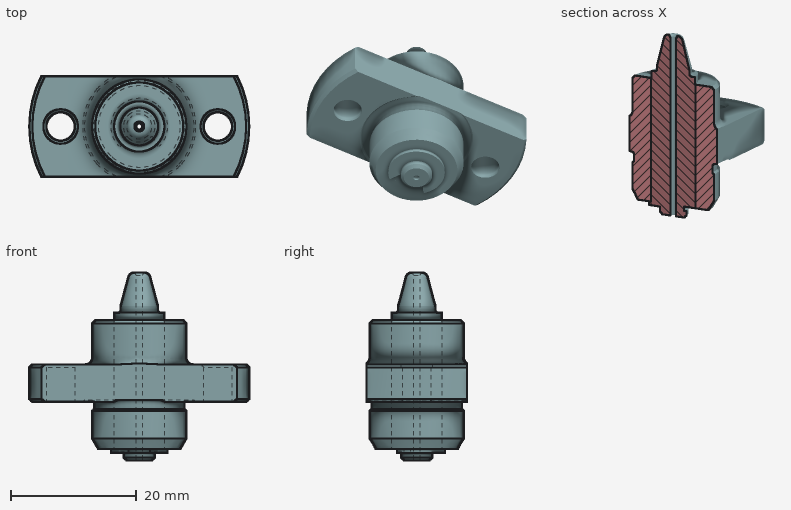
import cadquery as cq
import math


flange_radius = 17.5
flange_width = 16.0
flange_thickness = 6.0
flange_chamfer = 0.5

screw_hole_offset = 12.5
screw_hole_diameter = 4.5
screw_hole_chamfer = 0.5

barrel_radius = 7.5
barrel_top = 13.0
barrel_top_chamfer = 0.5
barrel_root_fillet = 1.0
barrel_bottom = -7.5
lead_in_width = 1.0
lead_in_angle = 30.0
lead_in_height = lead_in_width / math.tan(math.radians(lead_in_angle))

undercut_depth = 0.3
undercut_fillet = 0.4
undercut_neck_radius = barrel_radius - undercut_depth
undercut_shoulder = -1.45
undercut_outer_radius = 9.0

shaft_radius = 4.0
collar_height = 1.2
collar_top = barrel_top + collar_height
neck_radius = 3.0
neck_height = 1.0
neck_fillet = 0.35
cone_base = collar_top + neck_height
cone_half_angle = 15.0
tip_top = 20.6
tip_fillet = 1.0
cone_tip_radius = neck_radius - (tip_top - cone_base) * math.tan(math.radians(cone_half_angle))

key_ring_radius = 4.5
key_ring_height = 0.6
key_ring_bottom = barrel_bottom - key_ring_height
key_gap_angle = 60.0
key_gap_wall_distance = 1.0
key_gap_fillet = 0.2
hub_radius = 2.0
spigot_radius = 2.5
spigot_bottom = -9.31
spigot_chamfer = 0.5

channel_diameter = 1.0
channel_mouth_diameter = 1.54
channel_mouth_angle = 60.0
channel_mouth_depth = (
    (channel_mouth_diameter - channel_diameter) / 2 / math.tan(math.radians(channel_mouth_angle / 2))
)


def flange():
    """Disc with chamfered rims, trimmed to two flat sides."""
    disc = (
        cq.Workplane("XY")
        .circle(flange_radius)
        .extrude(flange_thickness)
        .edges()
        .chamfer(flange_chamfer)
    )
    trim = cq.Workplane("XY").rect(2 * flange_radius, flange_width).extrude(flange_thickness)
    return disc.intersect(trim)


def upper_barrel():
    """Cylinder with a chamfered top and a concave fillet at its root."""
    root_radius = barrel_radius + barrel_root_fillet
    root_top = flange_thickness + barrel_root_fillet
    arc_reach = barrel_root_fillet * (1 - math.sqrt(0.5))
    profile = (
        cq.Workplane("XZ")
        .moveTo(0, flange_thickness)
        .lineTo(root_radius, flange_thickness)
        .threePointArc((barrel_radius + arc_reach, flange_thickness + arc_reach), (barrel_radius, root_top))
        .lineTo(barrel_radius, barrel_top - barrel_top_chamfer)
        .lineTo(barrel_radius - barrel_top_chamfer, barrel_top)
        .lineTo(0, barrel_top)
        .close()
    )
    barrel = profile.revolve(360, (0, 0, 0), (0, 1, 0))
    trim = (
        cq.Workplane("XY")
        .workplane(offset=flange_thickness)
        .rect(2 * root_radius, flange_width)
        .extrude(barrel_top - flange_thickness)
    )
    return barrel.intersect(trim)


def lower_barrel():
    """Cylinder reaching up to the flange, with a conical lead-in at its lower end."""
    profile = (
        cq.Workplane("XZ")
        .moveTo(0, 0)
        .lineTo(barrel_radius, 0)
        .lineTo(barrel_radius, barrel_bottom + lead_in_height)
        .lineTo(barrel_radius - lead_in_width, barrel_bottom)
        .lineTo(0, barrel_bottom)
        .close()
    )
    return profile.revolve(360, (0, 0, 0), (0, 1, 0))


def undercut():
    """Ring-shaped relief cut into both the lower barrel and the flange underside."""
    fillet_end_radius = undercut_neck_radius + undercut_fillet
    fillet_end_z = undercut_depth - undercut_fillet
    arc_reach = undercut_fillet * (1 - math.sqrt(0.5))
    profile = (
        cq.Workplane("XZ")
        .moveTo(barrel_radius, undercut_shoulder)
        .lineTo(undercut_neck_radius, undercut_shoulder + undercut_depth)
        .lineTo(undercut_neck_radius, fillet_end_z)
        .threePointArc(
            (undercut_neck_radius + arc_reach, undercut_depth - arc_reach),
            (fillet_end_radius, undercut_depth),
        )
        .lineTo(undercut_outer_radius - undercut_depth, undercut_depth)
        .lineTo(undercut_outer_radius, 0)
        .lineTo(undercut_outer_radius, undercut_shoulder)
        .close()
    )
    return profile.revolve(360, (0, 0, 0), (0, 1, 0))


def screw_hole(x):
    """Through hole in the flange, chamfered at the top face."""
    hole_radius = screw_hole_diameter / 2
    profile = (
        cq.Workplane("XZ", origin=(x, 0, 0))
        .moveTo(0, 0)
        .lineTo(hole_radius, 0)
        .lineTo(hole_radius, flange_thickness - screw_hole_chamfer)
        .lineTo(hole_radius + screw_hole_chamfer, flange_thickness)
        .lineTo(0, flange_thickness)
        .close()
    )
    return profile.revolve(360, (0, 0, 0), (0, 1, 0))


def make_housing():
    """Flanged housing with a plain bore for the insert and two screw holes."""
    body = flange().union(upper_barrel()).union(lower_barrel()).cut(undercut())
    bore = (
        cq.Workplane("XY")
        .workplane(offset=barrel_bottom)
        .circle(shaft_radius)
        .extrude(barrel_top - barrel_bottom)
    )
    body = body.cut(bore)
    for side in (-1, 1):
        body = body.cut(screw_hole(side * screw_hole_offset))
    return body


def key_gap():
    """V-shaped gap on the -Y side that opens the key ring down to the hub."""
    half_angle = math.radians(key_gap_angle / 2)
    apex_y = key_gap_wall_distance / math.sin(half_angle)
    far_y = -key_ring_radius
    half_width = (apex_y - far_y) * math.tan(half_angle)
    wedge = (
        cq.Workplane("XY")
        .workplane(offset=key_ring_bottom)
        .polyline([(0, apex_y), (-half_width, far_y), (half_width, far_y)])
        .close()
        .extrude(key_ring_height)
    )
    hub = (
        cq.Workplane("XY")
        .workplane(offset=key_ring_bottom)
        .circle(hub_radius)
        .extrude(key_ring_height)
    )
    return wedge.cut(hub)


def channel():
    """Fine through channel with a conical mouth at the tip."""
    channel_radius = channel_diameter / 2
    profile = (
        cq.Workplane("XZ")
        .moveTo(0, spigot_bottom)
        .lineTo(channel_radius, spigot_bottom)
        .lineTo(channel_radius, tip_top - channel_mouth_depth)
        .lineTo(channel_mouth_diameter / 2, tip_top)
        .lineTo(0, tip_top)
        .close()
    )
    return profile.revolve(360, (0, 0, 0), (0, 1, 0))


def key_ring():
    """Ring below the housing, with the rounded gap on one side."""
    ring = (
        cq.Workplane("XY")
        .workplane(offset=key_ring_bottom)
        .circle(key_ring_radius)
        .extrude(key_ring_height)
        .cut(key_gap())
    )
    mouth_edges = cq.selectors.BoxSelector(
        (-key_ring_radius, -key_ring_radius, key_ring_bottom),
        (key_ring_radius, -hub_radius, barrel_bottom),
    )
    return ring.edges("|Z").edges(mouth_edges).fillet(key_gap_fillet)


def spigot():
    """Short pin at the lower end, chamfered at its tip."""
    return (
        cq.Workplane("XY")
        .workplane(offset=spigot_bottom)
        .circle(spigot_radius)
        .extrude(key_ring_bottom - spigot_bottom)
        .faces("<Z")
        .chamfer(spigot_chamfer)
    )


def shaft_and_tip():
    """Shaft inside the housing, its collar, and the neck and cone above it."""
    arc_reach = neck_fillet * (1 - math.sqrt(0.5))
    profile = (
        cq.Workplane("XZ")
        .moveTo(0, barrel_bottom)
        .lineTo(shaft_radius, barrel_bottom)
        .lineTo(shaft_radius, collar_top)
        .lineTo(neck_radius + neck_fillet, collar_top)
        .threePointArc(
            (neck_radius + arc_reach, collar_top + arc_reach),
            (neck_radius, collar_top + neck_fillet),
        )
        .lineTo(neck_radius, cone_base)
        .lineTo(cone_tip_radius, tip_top)
        .lineTo(0, tip_top)
        .close()
    )
    body = profile.revolve(360, (0, 0, 0), (0, 1, 0))
    return body.faces(">Z").edges().fillet(tip_fillet)


def make_nozzle():
    """Stepped insert: spigot, key ring, shaft, neck and conical tip."""
    return shaft_and_tip().union(key_ring()).union(spigot()).cut(channel())


housing = make_housing()
nozzle = make_nozzle()
result = cq.Compound.makeCompound([housing.val(), nozzle.val()])